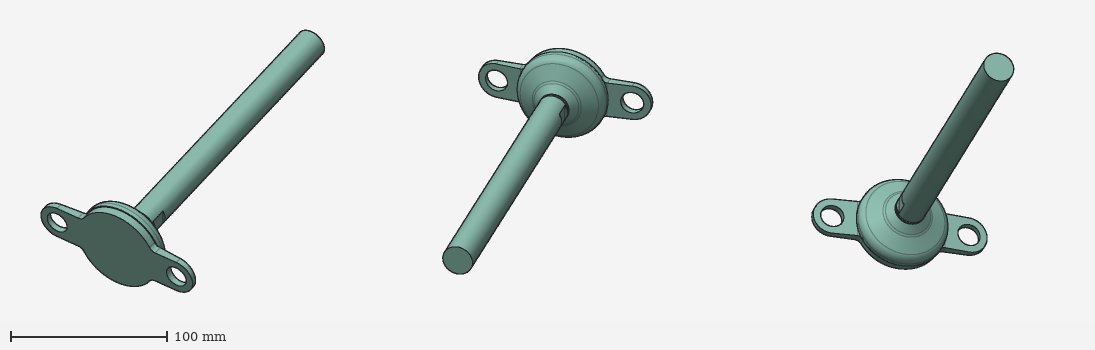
import cadquery as cq
import math


total_length = 228.0
overall_width = 116.0
dome_diameter = 60.0
foot_height = 26.7

plate_radius = 29.2
plate_height = 6.0
lug_center_x = 45.5
lug_radius = overall_width / 2 - lug_center_x
lug_tip_height = 3.6
lug_hole_radius = 7.5
root_fillet = 5.0

dome_radius = dome_diameter / 2
dome_wall_top = 9.1
shoulder_radius = 6.8
waist_radius = 15.7
waist_fillet = 6.8
dome_top_radius = 10.0
dome_slope_angle = math.radians(28)
dome_lip_height = 0.7

stem_radius = 10.0
stem_start = 28.3
neck_radius = 7.5
flat_start = 29.6
flat_end = 41.3
flat_half_width = 8.5


def extrude_along_y(profile, height):
    """Extrude an XZ profile from Y = 0 toward +Y."""
    return profile.extrude(-height)


def lug_outline_block():
    """Round-ended bar spanning both lugs."""
    bar_length = 2 * (lug_center_x + lug_radius)
    bar = cq.Workplane("XZ").slot2D(bar_length, 2 * lug_radius)
    return extrude_along_y(bar, plate_height)


def make_plate():
    """Disc with two sloping, drilled lugs and rounded lug roots."""
    disc = extrude_along_y(cq.Workplane("XZ").circle(plate_radius), plate_height)
    plate = disc.union(lug_outline_block())

    root_x = math.sqrt(plate_radius**2 - lug_radius**2)
    for side_x in (-1, 1):
        for side_z in (-1, 1):
            root = cq.selectors.NearestToPointSelector(
                (side_x * root_x, plate_height / 2, side_z * lug_radius)
            )
            plate = plate.edges("|Y").edges(root).fillet(root_fillet)

    tip_x = lug_center_x + lug_radius
    side_profile = (
        cq.Workplane("XY")
        .moveTo(-tip_x, 0)
        .lineTo(tip_x, 0)
        .lineTo(tip_x, lug_tip_height)
        .lineTo(plate_radius, plate_height)
        .lineTo(-plate_radius, plate_height)
        .lineTo(-tip_x, lug_tip_height)
        .close()
        .extrude(dome_radius, both=True)
    )
    plate = plate.intersect(side_profile)

    holes = cq.Workplane("XZ").pushPoints([(-lug_center_x, 0), (lug_center_x, 0)]).circle(lug_hole_radius)
    return plate.cut(extrude_along_y(holes, plate_height))


def make_dome():
    """Revolved dome: straight wall, rounded shoulder, two cones and a small top lip."""
    shoulder_center_x = dome_radius - shoulder_radius
    normal_angle = math.pi / 2 - dome_slope_angle

    def shoulder_point(angle):
        return (
            shoulder_center_x + shoulder_radius * math.cos(angle),
            dome_wall_top + shoulder_radius * math.sin(angle),
        )

    cone_start_x, cone_start_y = shoulder_point(normal_angle)
    waist_height = cone_start_y + (cone_start_x - waist_radius) * math.tan(dome_slope_angle)

    dome = (
        cq.Workplane("XY")
        .moveTo(0, plate_height)
        .lineTo(dome_radius, plate_height)
        .lineTo(dome_radius, dome_wall_top)
        .threePointArc(shoulder_point(normal_angle / 2), (cone_start_x, cone_start_y))
        .lineTo(waist_radius, waist_height)
        .lineTo(dome_top_radius, foot_height - dome_lip_height)
        .lineTo(dome_top_radius, foot_height)
        .lineTo(0, foot_height)
        .close()
        .revolve(360, (0, 0, 0), (0, 1, 0))
    )
    waist = cq.selectors.NearestToPointSelector((0, waist_height, 0))
    return dome.edges("%CIRCLE").edges(waist).fillet(waist_fillet)


def make_foot():
    return make_plate().union(make_dome())


def make_stem():
    """Round rod on a narrower neck, with two wrench flats facing -X and +X."""
    stem = (
        cq.Workplane("XY")
        .moveTo(0, foot_height)
        .lineTo(neck_radius, foot_height)
        .lineTo(neck_radius, stem_start)
        .lineTo(stem_radius, stem_start)
        .lineTo(stem_radius, total_length)
        .lineTo(0, total_length)
        .close()
        .revolve(360, (0, 0, 0), (0, 1, 0))
    )
    flat_length = flat_end - flat_start
    for side in (-1, 1):
        cutter = cq.Workplane("XY").box(stem_radius, flat_length, 2 * stem_radius).translate(
            (side * (flat_half_width + stem_radius / 2), flat_start + flat_length / 2, 0)
        )
        stem = stem.cut(cutter)
    return stem


centering = (0, -total_length / 2, 0)
foot = make_foot().translate(centering)
stem = make_stem().translate(centering)

result = cq.Compound.makeCompound([foot.val(), stem.val()])